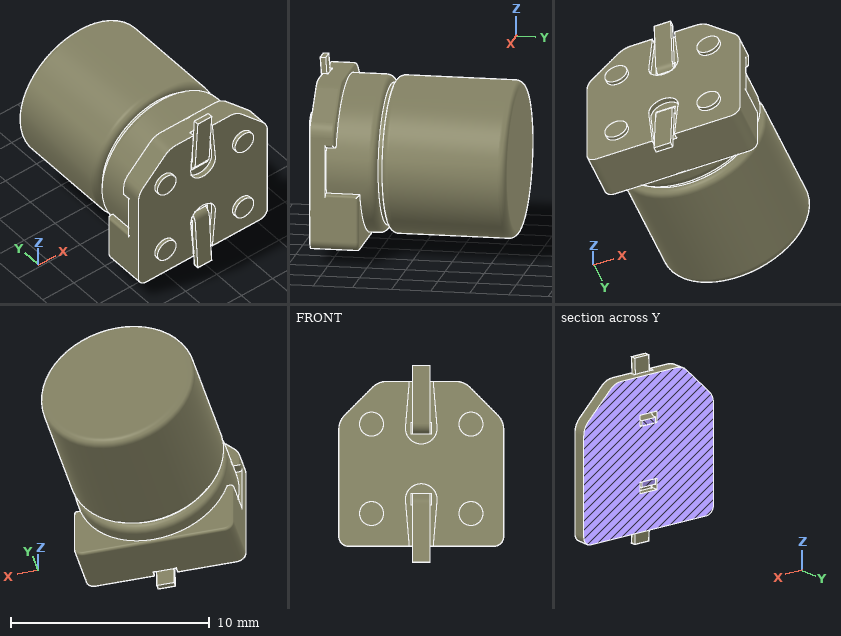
import cadquery as cq
import math


base_half = 4.15
corner_chamfer = 2.0
chamfer_round = 1.0
corner_round = 0.5
slab_height = 0.8
upper_wall_height = 1.3
lower_wall_height = 2.5
wall_inner_z = 1.2
wall_edge_round = 0.15

can_radius = 4.0
can_top = 10.0
groove_start = 3.4
groove_width = 0.2
can_edge_round = 0.4

foot_radius = 0.6
foot_height = 0.2
foot_x = 2.5
upper_foot_z = 2.0
lower_foot_z = -2.5

lead_width = 0.9
lead_thickness = 0.29
lead_tip_z = 4.952
lead_tip_y = -0.14
lead_tilt = 4.0
lead_leg_z = 1.5
lead_bend_round = 0.54

recess_depth = 0.3
recess_end_radius = 0.8
recess_end_z = 1.8
recess_mouth_half = 0.6
window_width = 1.04
window_length = 0.57


def base_block(height):
    """Full base outline, chamfered at the two +Z corners, raised to a height."""
    size = 2 * base_half
    block = cq.Workplane("XZ").rect(size, size).extrude(-height)
    block = block.edges("|Y and <Z").fillet(corner_round)
    block = block.edges("|Y and >Z").chamfer(corner_chamfer)
    upper_half = cq.selectors.BoxSelector((-size, -size, 0), (size, size, size))
    return block.edges("|Y").edges(upper_half).fillet(chamfer_round)


def side_half(side):
    """Box that covers the part of the base beyond the inner wall face on one Z side."""
    size = 4 * base_half
    centre_z = side * (wall_inner_z + size / 2)
    return cq.Workplane("XY").box(size, size, size).translate((0, 0, centre_z))


def wall(side, height):
    """Wall on one Z side of the base, with its outer top and end edges rounded."""
    block = base_block(height).intersect(side_half(side))
    inner = "<Z" if side > 0 else ">Z"
    top_edges = block.faces(">Y").edges("not " + inner)
    end_edges = block.edges("|Y and " + inner)
    return top_edges.add(end_edges).fillet(wall_edge_round)


def can():
    """Turned can with rounded ends on both sides of the groove."""
    neck_radius = can_radius - can_edge_round
    groove_end = groove_start + groove_width
    turned = (
        cq.Workplane("XY")
        .moveTo(0, slab_height)
        .lineTo(can_radius, slab_height)
        .lineTo(can_radius, groove_start - can_edge_round)
        .radiusArc((neck_radius, groove_start), -can_edge_round)
        .lineTo(neck_radius, groove_end)
        .radiusArc((can_radius, groove_end + can_edge_round), -can_edge_round)
        .lineTo(can_radius, can_top - can_edge_round)
        .radiusArc((neck_radius, can_top), -can_edge_round)
        .lineTo(0, can_top)
        .close()
        .revolve(360, (0, 0, 0), (0, 1, 0))
    )
    return on_side(turned, -90)


def feet():
    """Four round standoffs under the base."""
    centres = [(x, z) for x in (-foot_x, foot_x) for z in (lower_foot_z, upper_foot_z)]
    return cq.Workplane("XZ").pushPoints(centres).circle(foot_radius).extrude(foot_height)


def lead_opening():
    """Tapered recess that ends in a round, and the window above it, on the +Z side."""
    reach = base_half - recess_end_z
    mouth_angle = math.atan2(recess_mouth_half, reach)
    mouth_distance = math.hypot(recess_mouth_half, reach)
    tangent_angle = mouth_angle + math.acos(recess_end_radius / mouth_distance)
    tangent_x = recess_end_radius * math.sin(tangent_angle)
    tangent_z = recess_end_z + recess_end_radius * math.cos(tangent_angle)
    recess = (
        cq.Workplane("XZ")
        .moveTo(recess_mouth_half, base_half)
        .lineTo(tangent_x, tangent_z)
        .threePointArc((0, recess_end_z - recess_end_radius), (-tangent_x, tangent_z))
        .lineTo(-recess_mouth_half, base_half)
        .close()
        .extrude(-recess_depth)
    )
    window = cq.Workplane("XZ").center(0, lead_leg_z + window_length / 2)
    window = window.rect(window_width, window_length).extrude(-slab_height)
    return recess.union(window)


def lead():
    """Bent strip on the +Z side: a leg up to the window end and a tilted tab outward."""
    slope = math.tan(math.radians(lead_tilt))
    tab_height = lead_thickness / math.cos(math.radians(lead_tilt))
    leg_inner_z = lead_leg_z + lead_thickness
    outer_corner_y = lead_tip_y + (lead_tip_z - lead_leg_z) * slope
    inner_corner_y = lead_tip_y + (lead_tip_z - leg_inner_z) * slope + tab_height
    strip = (
        cq.Workplane("YZ")
        .moveTo(slab_height, lead_leg_z)
        .lineTo(outer_corner_y, lead_leg_z)
        .lineTo(lead_tip_y, lead_tip_z)
        .lineTo(lead_tip_y + tab_height, lead_tip_z)
        .lineTo(inner_corner_y, leg_inner_z)
        .lineTo(slab_height, leg_inner_z)
        .close()
        .extrude(lead_width / 2, both=True)
    )
    outer_corner = cq.selectors.NearestToPointSelector((0, outer_corner_y, lead_leg_z))
    strip = strip.edges("|X").edges(outer_corner).fillet(lead_bend_round)
    inner_corner = cq.selectors.NearestToPointSelector((0, inner_corner_y, leg_inner_z))
    return strip.edges("|X").edges(inner_corner).fillet(lead_bend_round - lead_thickness)


def on_side(shape, angle):
    """Turn a +Z side shape about the can axis."""
    return shape.rotate((0, 0, 0), (0, 1, 0), angle)


lead_angles = (0, 180)
leads = [on_side(lead(), angle) for angle in lead_angles]

housing = base_block(slab_height).union(wall(1, upper_wall_height)).union(wall(-1, lower_wall_height))
housing = housing.union(can()).union(feet())
for angle in lead_angles:
    housing = housing.cut(on_side(lead_opening(), angle))

for bent_lead in leads:
    housing = housing.cut(bent_lead)

result = cq.Compound.makeCompound([housing.val(), *[bent_lead.val() for bent_lead in leads]])